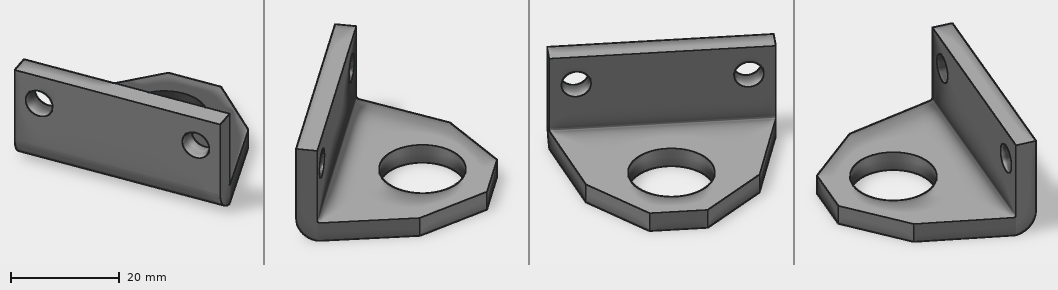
import cadquery as cq
import math

width = 42.0
depth = 33.0
height = 20.0
thickness = 4.0
inner_bend_radius = 0.5
outer_bend_radius = thickness + inner_bend_radius

bore_diameter = 16.0
bore_y = 20.0
lug_edge_distance = depth - bore_y
tip_half_width = lug_edge_distance * math.tan(math.radians(22.5))
shoulder_half_width = 16.1
shoulder_y = depth - (shoulder_half_width - tip_half_width)
taper_start_y = thickness

mount_hole_diameter = 5.5
mount_hole_spacing = 32.0
mount_hole_z = 14.0


def bent_plate():
    """L-shaped plate with a rounded bend, extruded across the full width."""
    profile = (
        cq.Workplane("YZ")
        .moveTo(outer_bend_radius, 0)
        .lineTo(depth, 0)
        .lineTo(depth, thickness)
        .lineTo(outer_bend_radius, thickness)
        .radiusArc((thickness, outer_bend_radius), inner_bend_radius)
        .lineTo(thickness, height)
        .lineTo(0, height)
        .lineTo(0, outer_bend_radius)
        .radiusArc((outer_bend_radius, 0), -outer_bend_radius)
        .close()
    )
    return profile.extrude(width / 2, both=True)


def plan_outline():
    """Prism of the plan shape: full width across the upright flange, tapering to the lug tip."""
    right_edge = [
        (width / 2, 0),
        (width / 2, taper_start_y),
        (shoulder_half_width, shoulder_y),
        (tip_half_width, depth),
    ]
    left_edge = [(-x, y) for x, y in reversed(right_edge)]
    return cq.Workplane("XY").polyline(right_edge + left_edge).close().extrude(height)


def bore():
    return cq.Workplane("XY").center(0, bore_y).circle(bore_diameter / 2).extrude(thickness)


def mount_holes():
    half_spacing = mount_hole_spacing / 2
    return (
        cq.Workplane("XZ")
        .pushPoints([(-half_spacing, mount_hole_z), (half_spacing, mount_hole_z)])
        .circle(mount_hole_diameter / 2)
        .extrude(-thickness)
    )


result = bent_plate().intersect(plan_outline()).cut(bore()).cut(mount_holes())